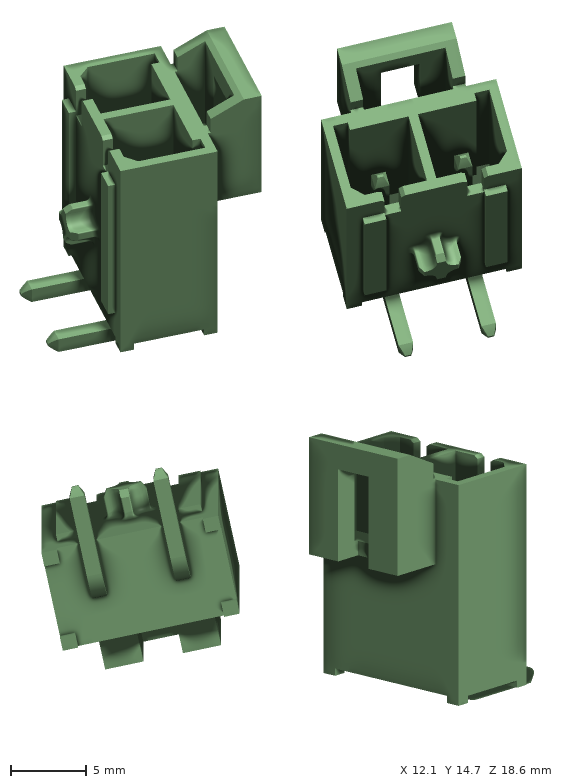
import cadquery as cq
import math

pin_pitch = 5.7
pin_positions = [-pin_pitch / 2, pin_pitch / 2]

body_width = 12.05
body_depth = 6.82
body_height = 15.3
side_wall = 0.65
front_wall = 0.7
septum = 0.65

foot_width = 1.05
foot_depth = 0.95
foot_height = 0.5

cavity_floor = 4.0
cavity_front_chamfer = 0.77
back_wall = 1.22
back_recess_width = 1.02

slot_width = 1.15
slot_depth = 2.3
slot_chamfer_width = 0.28
slot_chamfer_height = 0.2

rail_width = 1.5
rail_thickness = 0.5
rail_bottom = 2.53
rail_top = 13.35

latch_width = 7.9
latch_depth = 3.78
latch_height = 8.12
latch_rise = 2.24
latch_arm = 0.87
latch_gap = 0.2
latch_back_wall = 1.65
latch_crest = 1.25
latch_slope_drop = 1.08
latch_floor = 1.0
window_width = 2.7
window_rise = 0.5
window_floor_reach = 0.34

peg_height = 6.72
peg_length = 1.95
peg_half_span_x = 1.47
peg_half_span_z = 1.53
peg_half_arm = 0.31
peg_inner_radius = 0.84
peg_corner_fillet = 0.08
peg_base_fillet = 0.36
peg_tip_chamfer = 0.3
peg_tip_length = 0.5

pin_width = 1.0
pin_thickness = 1.06
pin_y = 3.35
pin_top = 12.0
pin_bottom = -1.1
pin_reach = 4.1
pin_inner_radius = 0.84
pin_tip_length = 0.65
pin_tip_flat_width = 0.42
pin_tip_flat_thickness = 0.18
pin_tip_bulge = 0.03


def block(x_min, x_max, y_min, y_max, z_min, z_max):
    """Axis-aligned box between the given limits."""
    size = (x_max - x_min, y_max - y_min, z_max - z_min)
    return cq.Workplane("XY").box(*size, centered=False).translate((x_min, y_min, z_min))


def prism_along_x(points, width):
    """Prism with a Y-Z outline, centred on X = 0."""
    return cq.Workplane("YZ").polyline(points).close().extrude(width / 2, both=True)


def mirrored(shape):
    """The shape together with its mirror image across X = 0."""
    return shape.union(shape.mirror("YZ"))


def make_body():
    half_width = body_width / 2
    body = block(-half_width, half_width, 0, body_depth, 0, body_height)
    foot_gap = half_width - foot_width
    body = body.cut(block(-foot_gap, foot_gap, 0, body_depth, 0, foot_height))
    return body.cut(block(-half_width, half_width, foot_depth, body_depth - foot_depth, 0, foot_height))


def make_cavities():
    inner_x = septum / 2
    outer_x = body_width / 2 - side_wall
    recess_x = outer_x - back_recess_width
    back_y = body_depth - back_wall
    recess_y = body_depth - side_wall
    outline = [
        (inner_x, front_wall),
        (outer_x - cavity_front_chamfer, front_wall),
        (outer_x, front_wall + cavity_front_chamfer),
        (outer_x, recess_y),
        (recess_x, recess_y),
        (recess_x, back_y),
        (inner_x, back_y),
    ]
    cavity = cq.Workplane("XY").workplane(offset=cavity_floor).polyline(outline).close()
    return mirrored(cavity.extrude(body_height - cavity_floor))


def make_slot(x):
    half = slot_width / 2
    half_mouth = half + slot_chamfer_width
    bottom = body_height - slot_depth
    chamfer_z = body_height - slot_chamfer_height
    outline = [
        (x - half, bottom),
        (x + half, bottom),
        (x + half, chamfer_z),
        (x + half_mouth, body_height),
        (x - half_mouth, body_height),
        (x - half, chamfer_z),
    ]
    return cq.Workplane("XZ").polyline(outline).close().extrude(-front_wall)


def make_rails():
    inner_x = (pin_pitch + slot_width) / 2
    return mirrored(block(inner_x, inner_x + rail_width, -rail_thickness, 0, rail_bottom, rail_top))


def make_latch():
    front_y = body_depth
    arm_y = front_y + latch_gap
    back_y = front_y + latch_depth
    top = body_height + latch_rise
    bottom = top - latch_height
    outline = [
        (front_y, bottom),
        (back_y, bottom),
        (back_y, top),
        (back_y - latch_crest, top),
        (arm_y, top - latch_slope_drop),
        (arm_y, body_height),
        (front_y, body_height),
    ]
    latch = prism_along_x(outline, latch_width)

    inner_x = latch_width / 2 - latch_arm
    wall_y = back_y - latch_back_wall
    latch = latch.cut(block(-inner_x, inner_x, front_y, wall_y, bottom + latch_floor, top))

    window_x = window_width / 2
    window_top = body_height + window_rise
    return latch.cut(block(-window_x, window_x, wall_y - window_floor_reach, back_y, bottom, window_top))


def make_peg_blank():
    """Block enclosing the peg, bevelled at its outer end."""
    span_x = 2 * peg_half_span_x
    span_z = 2 * peg_half_span_z
    bevel = 2 * peg_tip_chamfer
    straight_length = peg_length - peg_tip_length
    bar = cq.Workplane("XZ").rect(span_x, span_z).extrude(straight_length)
    tip = cq.Workplane("XZ", origin=(0, -straight_length, 0)).rect(span_x, span_z)
    tip = tip.workplane(offset=peg_tip_length).rect(span_x - bevel, span_z - bevel)
    return bar.union(tip.loft(ruled=True))


def make_peg_profile():
    """Cross-shaped bar with rounded arm corners and concave quarter-round inner corners."""
    arm_width = 2 * peg_half_arm
    shoulder = peg_half_arm + peg_inner_radius
    sketch_plane = cq.Workplane("XZ")
    cross = sketch_plane.rect(2 * peg_half_span_x, arm_width).extrude(peg_length)
    cross = cross.union(sketch_plane.rect(arm_width, 2 * peg_half_span_z).extrude(peg_length))
    core = sketch_plane.rect(2 * shoulder, 2 * shoulder).extrude(peg_length)
    hollow_centres = [(x, z) for x in (-shoulder, shoulder) for z in (-shoulder, shoulder)]
    hollows = sketch_plane.pushPoints(hollow_centres).circle(peg_inner_radius).extrude(peg_length)
    cross = cross.edges("|Y").edges("<X or >X or <Z or >Z").fillet(peg_corner_fillet)
    return cross.union(core.cut(hollows)).clean()


def add_peg(body):
    peg = make_peg_profile().intersect(make_peg_blank()).translate((0, 0, peg_height))
    reach_x = peg_half_span_x + peg_base_fillet
    reach_z = peg_half_span_z + peg_base_fillet
    base_edges = cq.selectors.BoxSelector(
        (-reach_x, -peg_base_fillet / 2, peg_height - reach_z),
        (reach_x, peg_base_fillet / 2, peg_height + reach_z),
    )
    return body.union(peg).edges(base_edges).fillet(peg_base_fillet)


def make_pin_tip():
    """Upright pin end, tapering straight across its width and with a slight bulge across its thickness."""
    half_width = pin_width / 2
    half_thickness = pin_thickness / 2
    half_flat_width = pin_tip_flat_width / 2
    half_flat_thickness = pin_tip_flat_thickness / 2
    width_taper = (
        cq.Workplane("XZ")
        .moveTo(-half_width, 0)
        .lineTo(half_width, 0)
        .lineTo(half_flat_width, pin_tip_length)
        .lineTo(-half_flat_width, pin_tip_length)
        .close()
        .extrude(half_thickness, both=True)
    )
    thickness_taper = (
        cq.Workplane("YZ")
        .moveTo(-half_thickness, 0)
        .lineTo(half_thickness, 0)
        .sagittaArc((half_flat_thickness, pin_tip_length), -pin_tip_bulge)
        .lineTo(-half_flat_thickness, pin_tip_length)
        .sagittaArc((-half_thickness, 0), -pin_tip_bulge)
        .close()
        .extrude(half_width, both=True)
    )
    return width_taper.intersect(thickness_taper)


def make_pin(x):
    half = pin_thickness / 2
    outer_radius = pin_inner_radius + pin_thickness
    back_y = pin_y + half
    bend_y = back_y - outer_radius
    bend_z = pin_bottom + outer_radius
    shank_top = pin_top - pin_tip_length
    shank_end = -pin_reach + pin_tip_length
    diagonal = math.sqrt(0.5)
    outer_mid = (bend_y + outer_radius * diagonal, bend_z - outer_radius * diagonal)
    inner_mid = (bend_y + pin_inner_radius * diagonal, bend_z - pin_inner_radius * diagonal)

    shank = (
        cq.Workplane("YZ")
        .moveTo(shank_end, pin_bottom)
        .lineTo(bend_y, pin_bottom)
        .threePointArc(outer_mid, (back_y, bend_z))
        .lineTo(back_y, shank_top)
        .lineTo(pin_y - half, shank_top)
        .lineTo(pin_y - half, bend_z)
        .threePointArc(inner_mid, (bend_y, pin_bottom + pin_thickness))
        .lineTo(shank_end, pin_bottom + pin_thickness)
        .close()
        .extrude(pin_width / 2, both=True)
    )
    tip = make_pin_tip()
    mating_tip = tip.translate((0, pin_y, shank_top))
    solder_tip = tip.rotate((0, 0, 0), (1, 0, 0), 90).translate((0, shank_end, pin_bottom + half))
    return shank.union(mating_tip).union(solder_tip).translate((x, 0, 0))


housing = add_peg(make_body())
housing = housing.union(make_rails()).union(make_latch()).cut(make_cavities())
for position in pin_positions:
    housing = housing.cut(make_slot(position))
for position in pin_positions:
    housing = housing.union(make_pin(position))

result = housing